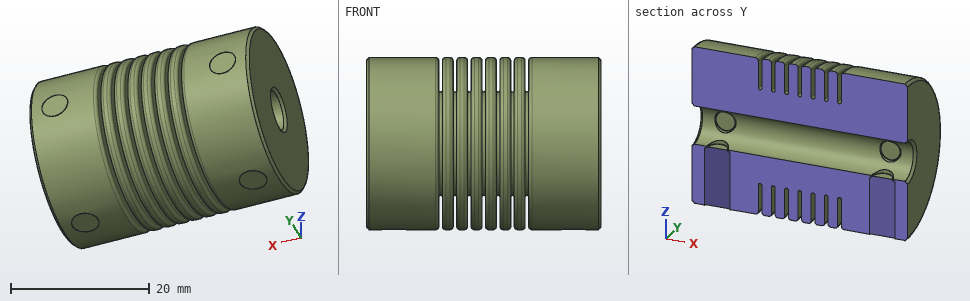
import cadquery as cq

LENGTH = 34.0
OUTER_RADIUS = 12.5
BORE_RADIUS = 3.0
END_CHAMFER = 0.4
BORE_CHAMFER = 0.4

GROOVE_COUNT = 7
GROOVE_WIDTH = 0.5
GROOVED_LENGTH = 13.0
GROOVE_FLOOR_RADIUS = 7.5
FIN_EDGE_FILLET = 0.5

SCREW_RADIUS = 2.0
SCREW_OFFSET = 13.0
SCREW_TIP_DISTANCE = 3.05
SCREW_END_DISTANCE = 12.4
TIP_CHAMFER = 0.5
PILOT_HOLE_RADIUS = 1.65

HALF_LENGTH = LENGTH / 2
GROOVE_PITCH = (GROOVED_LENGTH - GROOVE_WIDTH) / (GROOVE_COUNT - 1)
SCREW_POSITIONS = [
    (side * SCREW_OFFSET, direction)
    for side in (-1, 1)
    for direction in ((0, 1, 0), (0, 0, -1))
]


def revolve_about_x(profile):
    """Revolve an XZ-plane profile one full turn about the X axis."""
    return profile.revolve(360, (0, 0, 0), (1, 0, 0))


def make_blank():
    """Bored cylinder with chamfered outer ends and bore mouths."""
    return revolve_about_x(
        cq.Workplane("XZ")
        .moveTo(-HALF_LENGTH, BORE_RADIUS + BORE_CHAMFER)
        .lineTo(-HALF_LENGTH, OUTER_RADIUS - END_CHAMFER)
        .lineTo(-HALF_LENGTH + END_CHAMFER, OUTER_RADIUS)
        .lineTo(HALF_LENGTH - END_CHAMFER, OUTER_RADIUS)
        .lineTo(HALF_LENGTH, OUTER_RADIUS - END_CHAMFER)
        .lineTo(HALF_LENGTH, BORE_RADIUS + BORE_CHAMFER)
        .lineTo(HALF_LENGTH - BORE_CHAMFER, BORE_RADIUS)
        .lineTo(-HALF_LENGTH + BORE_CHAMFER, BORE_RADIUS)
        .close()
    )


def make_groove(center_x):
    """Ring cutter for one groove: rounded floor, straight walls and rounded rims."""
    half_width = GROOVE_WIDTH / 2
    rim_half_width = half_width + FIN_EDGE_FILLET
    wall_bottom = GROOVE_FLOOR_RADIUS + half_width
    wall_top = OUTER_RADIUS - FIN_EDGE_FILLET
    return revolve_about_x(
        cq.Workplane("XZ")
        .moveTo(center_x - rim_half_width, OUTER_RADIUS)
        .radiusArc((center_x - half_width, wall_top), FIN_EDGE_FILLET)
        .lineTo(center_x - half_width, wall_bottom)
        .threePointArc((center_x, GROOVE_FLOOR_RADIUS), (center_x + half_width, wall_bottom))
        .lineTo(center_x + half_width, wall_top)
        .radiusArc((center_x + rim_half_width, OUTER_RADIUS), FIN_EDGE_FILLET)
        .close()
    )


def screw_plane(x, direction, distance=0):
    """Workplane facing outward along a set screw, at a distance from the coupling axis."""
    plane = cq.Plane(origin=(x, 0, 0), xDir=(1, 0, 0), normal=direction)
    return cq.Workplane(plane).workplane(offset=distance)


def make_tipped_rod(x, direction, end_distance):
    """Rod of screw diameter with a chamfered flat tip, reaching out to end_distance."""
    return (
        screw_plane(x, direction, SCREW_TIP_DISTANCE)
        .circle(SCREW_RADIUS)
        .extrude(end_distance - SCREW_TIP_DISTANCE)
        .faces(cq.selectors.NearestToPointSelector((x, 0, 0)))
        .chamfer(TIP_CHAMFER)
    )


def make_set_screw(x, direction):
    """Set screw ending just below the hub surface."""
    return make_tipped_rod(x, direction, SCREW_END_DISTANCE)


def make_screw_hole(x, direction):
    """Cutter for a hole that fits the screw and narrows to a pilot hole at the bore."""
    pilot = screw_plane(x, direction).circle(PILOT_HOLE_RADIUS).extrude(OUTER_RADIUS)
    return pilot.union(make_tipped_rod(x, direction, OUTER_RADIUS))


def make_body():
    """One-piece coupling with its bore, grooves and screw holes."""
    body = make_blank()
    for index in range(GROOVE_COUNT):
        groove_x = (index - (GROOVE_COUNT - 1) / 2) * GROOVE_PITCH
        body = body.cut(make_groove(groove_x))
    for x, direction in SCREW_POSITIONS:
        body = body.cut(make_screw_hole(x, direction))
    return body


coupling_body = make_body()
set_screws = [make_set_screw(x, direction) for x, direction in SCREW_POSITIONS]

result = cq.Compound.makeCompound([coupling_body.val(), *[screw.val() for screw in set_screws]])